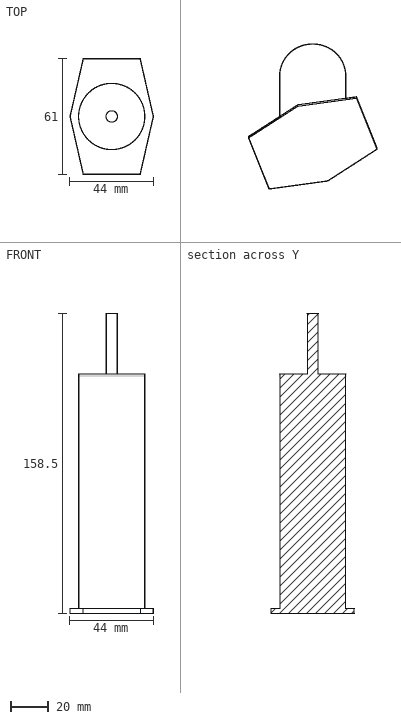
import cadquery as cq

total_height = 158.5

plate_width = 44.0
plate_length = 61.0
plate_end_width = 30.1
plate_thickness = 2.9

body_diameter = 35.0
top_diameter = 34.9
taper_height = 1.0
body_top = 126.5

rod_diameter = 6.0


def cylinder(diameter, bottom, top):
    """Upright cylinder on the Z axis between two heights."""
    return cq.Workplane("XY").workplane(offset=bottom).circle(diameter / 2).extrude(top - bottom)


def base_plate():
    """Flat six-sided plate resting on Z = 0."""
    outline = [
        (plate_width / 2, 0),
        (plate_end_width / 2, plate_length / 2),
        (-plate_end_width / 2, plate_length / 2),
        (-plate_width / 2, 0),
        (-plate_end_width / 2, -plate_length / 2),
        (plate_end_width / 2, -plate_length / 2),
    ]
    return cq.Workplane("XY").polyline(outline).close().extrude(plate_thickness)


def tapered_body():
    """Cylinder body with a shallow cone around its top edge."""
    taper_inset = (body_diameter - top_diameter) / 2
    body = cylinder(body_diameter, plate_thickness, body_top)
    return body.faces(">Z").edges().chamfer(taper_height, taper_inset)


rod = cylinder(rod_diameter, body_top, total_height)

result = base_plate().union(tapered_body()).union(rod)